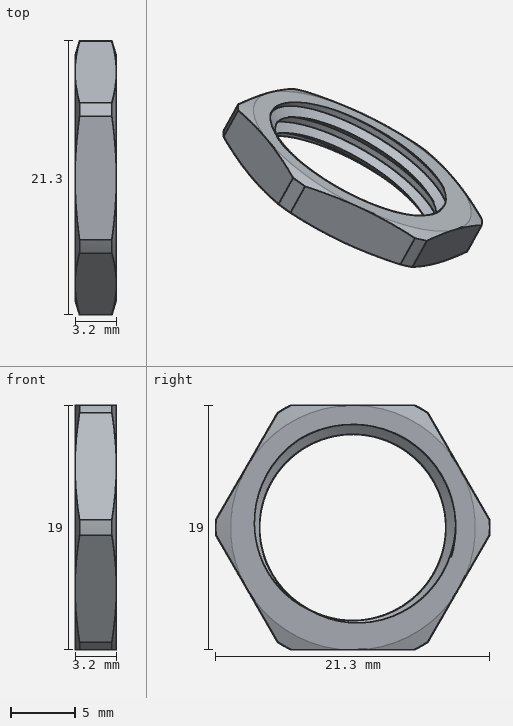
import cadquery as cq
import math

thickness = 3.2
across_flats = 19.0
corner_diameter = 1.12 * across_flats
chamfer_angle = 17.0

major_diameter = 16.0
minor_diameter = 14.45
pitch = 1.5
root_flat = pitch / 3
crest_angle = 346.0
root_overlap = 0.1

major_radius = major_diameter / 2
minor_radius = minor_diameter / 2


def turned_blank():
    """Disc along Z whose end chamfers run out on the circle inscribed in the flats."""
    corner_radius = corner_diameter / 2
    face_radius = across_flats / 2
    chamfer_height = (corner_radius - face_radius) * math.tan(math.radians(chamfer_angle))
    half_section = [
        (0, 0),
        (face_radius, 0),
        (corner_radius, chamfer_height),
        (corner_radius, thickness - chamfer_height),
        (face_radius, thickness),
        (0, thickness),
    ]
    return cq.Workplane("XZ").polyline(half_section).close().revolve(360, (0, 0), (0, 1))


def hexagon():
    """Hexagonal prism along Z with two corners on the Y axis."""
    sharp_corner_diameter = across_flats / math.cos(math.radians(30))
    prism = cq.Workplane("XY").polygon(6, sharp_corner_diameter).extrude(thickness)
    return prism.rotate((0, 0, 0), (0, 0, 1), 90)


def thread_ridge():
    """Triangular helical ridge along Z, trimmed flush with both end faces."""
    extra_turns = 1
    turns = math.ceil(thickness / pitch) + 2 * extra_turns
    half_base = (pitch - root_flat) / 2
    thread_depth = major_radius - minor_radius
    sunk_half_base = half_base * (thread_depth + root_overlap) / thread_depth
    sunk_radius = major_radius + root_overlap
    profile = [
        (minor_radius, 0),
        (sunk_radius, sunk_half_base),
        (sunk_radius, -sunk_half_base),
    ]
    helix = cq.Wire.makeHelix(pitch, turns * pitch, minor_radius)
    ridge = cq.Workplane("XZ").polyline(profile).close().sweep(cq.Workplane(helix), isFrenet=True)
    start_angle = 270 - crest_angle
    ridge = ridge.translate((0, 0, -extra_turns * pitch)).rotate((0, 0, 0), (0, 0, 1), start_angle)
    trim = cq.Workplane("XY").circle(across_flats / 2).extrude(thickness)
    return ridge.intersect(trim)


bore = cq.Workplane("XY").circle(major_radius).extrude(thickness)

nut = turned_blank().intersect(hexagon()).cut(bore).union(thread_ridge())

result = nut.rotate((0, 0, 0), (0, 1, 0), 90)